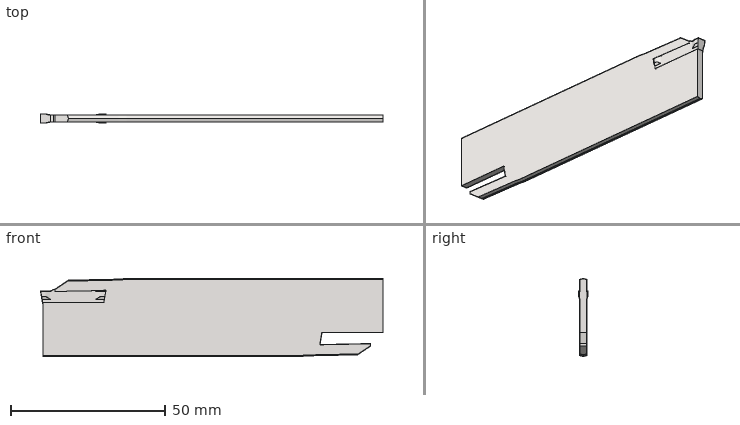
import cadquery as cq
import math

length = 111.0
height = 25.3
thickness = 2.3
front_x = 0.8
ridge_angle = 15.0

jaw_tip_x = 4.8
jaw_nose_z = 21.9
jaw_slope_end_x = 9.1
relief_start_z = 24.8
relief_end_z = 25.1
relief_end_x = 25.3
relief_ramp_end_x = 28.0

seat_z = 17.5
seat_end_x = 20.5
slot_top_end_x = 21.2
slot_mouth_z = 21.1
slot_inner_z = 21.4
end_slope = (slot_top_end_x - seat_end_x) / (slot_inner_z - seat_z)

head_width = 3.0
head_length = 3.2
head_land_length = 1.7
head_top_z = 21.2
head_land_bottom_z = 19.5
head_bottom_z = 18.5
bump_start_x = 4.2
bump_z = 21.8

lip_x = end_slope * (head_top_z - seat_z)
lip_drop = 0.7


def extrude_across(points):
    """Extrude an XZ outline by the blade thickness, centred on Y = 0."""
    return cq.Workplane("XZ").polyline(points).close().extrude(thickness / 2, both=True)


def half_turn(points):
    """Turn XZ points by 180 degrees about the centre of the blade."""
    return [(front_x + length - x, height - z) for x, z in points]


def roof_cutter(points):
    """Wedge-shaped waste above the roof, following an XZ ridge line on both sides."""
    drop = thickness / 2 * math.tan(math.radians(ridge_angle))
    cutters = []
    for (x0, z0), (x1, z1) in zip(points, points[1:]):
        for side in (-1, 1):
            edge_y = side * thickness / 2
            start = [cq.Vector(x0, 0, z0), cq.Vector(x0, edge_y, z0), cq.Vector(x0, edge_y, z0 - drop)]
            end = [cq.Vector(x1, 0, z1), cq.Vector(x1, edge_y, z1), cq.Vector(x1, edge_y, z1 - drop)]
            wires = [cq.Wire.makePolygon(corner, close=True) for corner in (start, end)]
            cutters.append(cq.Solid.makeLoft(wires, True))
    return cutters


def make_blade():
    slot_inside = [
        (seat_end_x, seat_z),
        (slot_top_end_x, slot_inner_z),
        (jaw_tip_x, slot_mouth_z),
    ]
    jaw_outside = [
        (jaw_tip_x, jaw_nose_z),
        (jaw_slope_end_x, relief_start_z),
        (relief_end_x, relief_end_z),
        (relief_ramp_end_x, height),
    ]
    upper_end = slot_inside + jaw_outside
    lip = [(front_x, seat_z - lip_drop), (lip_x, seat_z)]
    far_corner = half_turn([(front_x, seat_z)])
    blade = extrude_across(lip + upper_end + [(length, height)] + far_corner + half_turn(upper_end)
                           + [(front_x, 0)])
    ridge = [(jaw_tip_x, relief_start_z)] + jaw_outside[1:] + [(length, height)]
    center = (front_x + length) / 2
    for cutter in roof_cutter(ridge):
        turned = cutter.rotate(
            cq.Vector(center, 0, height / 2), cq.Vector(center, 1.1, height / 2), 180
        )
        blade = blade.cut(cq.Workplane(cutter)).cut(cq.Workplane(turned))
    return blade


def make_head():
    """Wide cutting head at the insert tip, narrowing rearward and downward."""
    side = [
        (0, head_top_z),
        (head_length, head_top_z),
        (head_length, head_bottom_z),
        (end_slope * (head_top_z - head_bottom_z), head_bottom_z),
    ]
    profile = cq.Workplane("XZ").polyline(side).close().extrude(head_width / 2, both=True)
    plan = [
        (0, head_width / 2),
        (head_land_length, head_width / 2),
        (head_length, thickness / 2),
        (head_length, -thickness / 2),
        (head_land_length, -head_width / 2),
        (0, -head_width / 2),
    ]
    section = [
        (head_width / 2, head_top_z),
        (head_width / 2, head_land_bottom_z),
        (thickness / 2, head_bottom_z),
        (-thickness / 2, head_bottom_z),
        (-head_width / 2, head_land_bottom_z),
        (-head_width / 2, head_top_z),
    ]
    plan_taper = cq.Workplane("XY").polyline(plan).close().extrude(height)
    section_taper = cq.Workplane("YZ").polyline(section).close().extrude(head_length)
    return profile.intersect(plan_taper).intersect(section_taper)


def make_insert():
    rear_top_x = seat_end_x + end_slope * (head_top_z - seat_z)
    rear_head_x = rear_top_x - head_length
    seat_slope = (slot_inner_z - slot_mouth_z) / (slot_top_end_x - jaw_tip_x)
    rear_contact_z = slot_mouth_z + seat_slope * (rear_head_x - jaw_tip_x)
    shank = extrude_across([
        (lip_x, seat_z),
        (seat_end_x, seat_z),
        (rear_top_x, head_top_z),
        (rear_head_x, head_top_z),
        (rear_head_x, rear_contact_z),
        (jaw_tip_x, slot_mouth_z),
        (jaw_tip_x, bump_z),
        (bump_start_x, bump_z),
        (head_length, head_top_z),
        (0, head_top_z),
    ])
    front_head = make_head()
    rear_head = front_head.mirror("YZ").translate((rear_top_x, 0, 0))
    return shank.union(front_head).union(rear_head)


blade = make_blade()
insert = make_insert()
result = cq.Compound.makeCompound([blade.val(), insert.val()])